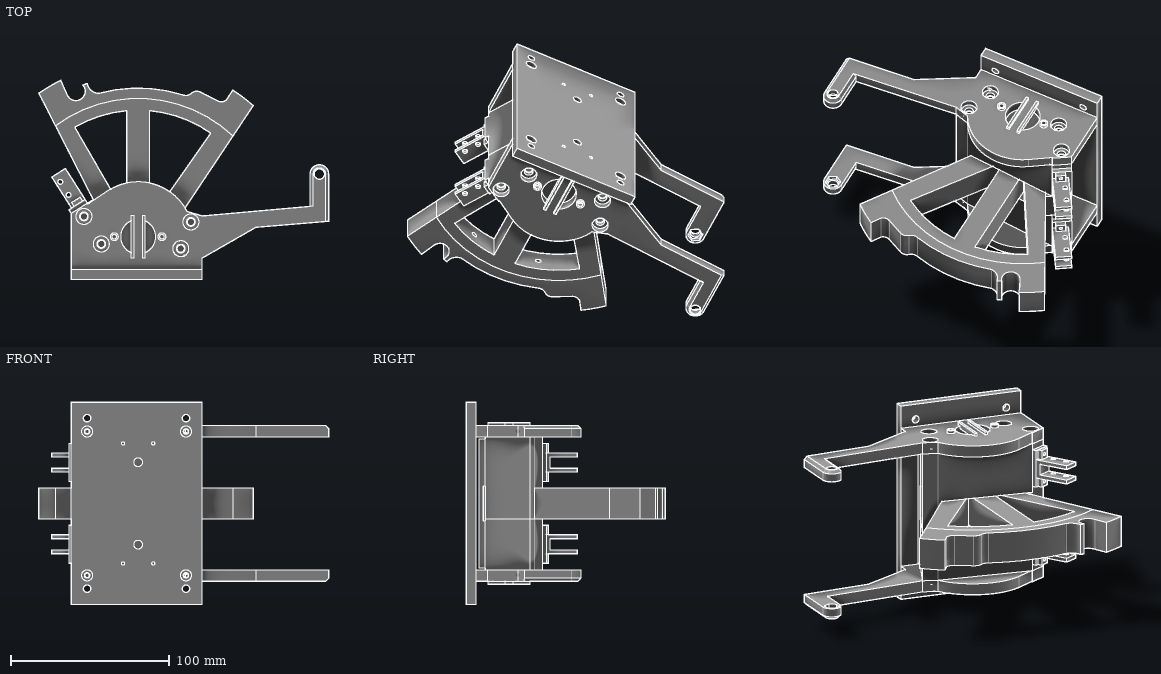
import cadquery as cq
import math


overall_length = 183.3

base_left = -42.3
base_right = 40.5
base_front = -27.1
base_thickness = 6.5
base_back = base_front + base_thickness
base_half_height = 64.0
corner_hole_x = (-32.3, 30.2)
mount_hole_diameter = 4.5
mount_hole_z = 53.9
base_screw_z = 45.5
screw_head_diameter = 7.0
screw_head_depth = 3.3
screw_clearance_diameter = 3.5
screw_thread_diameter = 2.7
screw_thread_depth = 9.2
locating_hole_diameter = 5.5
locating_hole_depth = 2.7
locating_hole_z = 26.0
small_hole_diameter = 2.0
small_hole_x = 9.5
small_hole_z = 38.0

side_inner_z = 42.0
side_thickness = 7.3
side_outer_z = side_inner_z + side_thickness
side_dome_radius = 34.8
dome_end_angle = 27.5
slant_angle = 32.5
slant_length = 12.3
slant_start = (base_left, 14.7)
slant_step = 0.7
shoulder = (base_right, 13.2)
arm_root_low = (base_right, -13.5)
arm_bend_low = (74.5, 5.9)
arm_corner_y = 9.7
arm_elbow_y = 19.2
arm_width = 12.0
arm_hole_y = 39.5
arm_hole_diameter = 6.5
arm_chamfer = 2.0
selection_margin = 0.2
nut_width_over_corners = 9.5
nut_depth = 3.0
nut_turn = 30.0
side_bolts = ((-34.3, 12.8), (33.4, 9.3), (-23.3, -4.5), (27.0, -7.5))
side_bolt_diameter = 5.5
side_bolt_head_diameter = 10.0
side_bolt_head_depth = 4.4
side_bolt_thread_diameter = 4.5
side_bolt_thread_depth = 14.7
axle_hole_diameter = 22.0
bridge_thickness = 1.6
rib_outer_x = 4.4
rib_thickness = 1.6
rib_length = 26.8
rib_height = 1.8
boss_x = 15.0
boss_diameter = 5.0
boss_hole_diameter = 3.0
boss_hole_depth = 3.7

block_front = -15.0
block_right_angle = 21.4
stop_length = 18.3
stop_depth = 3.7
pad_height = 2.7
pad_length = 24.2
strip_front = -19.0
strip_half_height = 40.9
strip_notch_depth = 1.1
strip_notch_half_height = 11.0

wheel_half_height = 9.9
hub_radius = 14.7
wheel_radius = 87.5
window_radius = 80.0
rim_radius = 94.0
tab_radius = 110.3
left_tab_angle = 124.7
right_tab_angle = 48.7
left_window_angle = 120.0
right_window_angle = 55.0
middle_spoke_half_width = 7.3
rim_left_angle = 105.4
rim_right_angle = 72.4
left_notch_angle = 116.3
right_notch_angle = 57.2
hook_notch_wall = (-44.9, 90.0)
hook_notch_bottom = (-38.5, 86.1)
hook_tip_inner = (-35.0, 95.9)
hook_tip_outer = (-32.0, 97.0)
hook_back = (-30.2, 93.1)
ramp_hollow = (31.2, 89.5)
ramp_rise = (33.7, 90.7)
ramp_crest = (36.7, 92.0)
ramp_top = (39.4, 91.5)
ramp_end = (50.2, 86.0)
ramp_notch_bottom = (53.5, 85.5)
ramp_notch_wall = (55.9, 86.7)
rim_screw_diameter = 3.5
rim_screw_start = window_radius - 1.8
rim_screw_angles = (73.8, 106.4)

bracket_z = 25.8
clevis_start = 2.0
clevis_width = 10.3
clevis_reach = 26.0
clevis_height = 12.1
tine_thickness = 2.5
web_thickness = 3.0
flange_start = 4.0
flange_width = 6.2
flange_screw_diameter = 2.0
flange_screw_spacing = 18.1
tine_hole_diameter = 3.0
tine_hole_along = 5.0
tine_hole_reaches = (10.8, 20.5)


def polar(radius, degrees):
    angle = math.radians(degrees)
    return (radius * math.cos(angle), radius * math.sin(angle))


def along_slant(distance):
    """Point on the slanted face, measured from its lower left corner."""
    run, rise = polar(distance, slant_angle)
    return (slant_start[0] + run, slant_start[1] + rise)


def place_on_slant(body):
    """Turn a body whose X runs along the slanted face and Y away from it."""
    turned = body.rotate((0, 0, 0), (0, 0, 1), slant_angle)
    return turned.translate((slant_start[0], slant_start[1], 0))


def box(x_range, y_range, z_range):
    size = [high - low for low, high in (x_range, y_range, z_range)]
    corner = (x_range[0], y_range[0], z_range[0])
    return cq.Workplane("XY").box(*size, centered=False).translate(corner)


def rods_z(points, diameter, z_low, z_high):
    rods = cq.Workplane("XY").workplane(offset=z_low).pushPoints(points)
    return rods.circle(diameter / 2).extrude(z_high - z_low)


def rods_y(points, diameter, y_low, y_high):
    """Rods along Y at the given (x, z) places."""
    rods = cq.Workplane("XZ", origin=(0, y_low, 0)).pushPoints(points)
    return rods.circle(diameter / 2).extrude(y_low - y_high)


arm_tip_x = overall_length + polar(tab_radius, left_tab_angle)[0]
slant_end = along_slant(slant_length)
block_bottom_left = slant_start[0] + (slant_start[1] - block_front) * math.tan(math.radians(slant_angle))
block_bottom_right = shoulder[0] - (shoulder[1] - block_front) * math.tan(math.radians(block_right_angle))
base_screws = [(x, z) for x in corner_hole_x for z in (-base_screw_z, base_screw_z)]


def make_base():
    base = box((base_left, base_right), (base_front, base_back), (-base_half_height, base_half_height))
    mount_holes = [(x, z) for x in corner_hole_x for z in (-mount_hole_z, mount_hole_z)]
    locating_holes = [(0, -locating_hole_z), (0, locating_hole_z)]
    small_holes = [(x, z) for x in (-small_hole_x, small_hole_x) for z in (-small_hole_z, small_hole_z)]
    through_holes = (
        (mount_holes, mount_hole_diameter),
        (base_screws, screw_clearance_diameter),
        (small_holes, small_hole_diameter),
    )
    for places, diameter in through_holes:
        base = base.cut(rods_y(places, diameter, base_front, base_back))
    locating_floor = base_front + locating_hole_depth
    base = base.cut(rods_y(locating_holes, locating_hole_diameter, base_front, locating_floor))
    return base.cut(rods_y(base_screws, screw_head_diameter, base_front, base_front + screw_head_depth))


def side_outline():
    """Foot, swan-neck arm, dome round the wheel axis and the slanted left shoulder."""
    arm_inner_x = arm_tip_x - arm_width
    arm_middle_x = arm_tip_x - arm_width / 2
    dome_foot = (slant_end[0], slant_end[1] - slant_step)
    foot_distance = math.hypot(*dome_foot)
    foot_angle = math.degrees(math.atan2(dome_foot[1], dome_foot[0]))
    tangent_angle = foot_angle - math.degrees(math.acos(side_dome_radius / foot_distance))
    return (
        cq.Workplane("XY")
        .workplane(offset=side_inner_z)
        .moveTo(base_left, base_back)
        .lineTo(base_right, base_back)
        .lineTo(*arm_root_low)
        .lineTo(*arm_bend_low)
        .lineTo(arm_tip_x, arm_corner_y)
        .lineTo(arm_tip_x, arm_hole_y)
        .threePointArc((arm_middle_x, arm_hole_y + arm_width / 2), (arm_inner_x, arm_hole_y))
        .lineTo(arm_inner_x, arm_elbow_y)
        .lineTo(*shoulder)
        .lineTo(*polar(side_dome_radius, dome_end_angle))
        .threePointArc((0, side_dome_radius), polar(side_dome_radius, tangent_angle))
        .lineTo(*dome_foot)
        .lineTo(*slant_end)
        .lineTo(*slant_start)
        .close()
    )


def add_arm_end(plate):
    """Chamfer the outer edges of the arm end, and add its hole and nut pocket."""
    edge_low = (arm_tip_x - arm_width - selection_margin, arm_elbow_y, side_outer_z - selection_margin)
    edge_high = (arm_tip_x + selection_margin, arm_hole_y + arm_width, side_outer_z + selection_margin)
    plate = plate.edges(cq.selectors.BoxSelector(edge_low, edge_high)).chamfer(arm_chamfer)
    hole_place = (arm_tip_x - arm_width / 2, arm_hole_y)
    nut = cq.Workplane("XY").polygon(6, nut_width_over_corners).extrude(nut_depth)
    nut = nut.rotate((0, 0, 0), (0, 0, 1), nut_turn).translate((*hole_place, side_inner_z))
    plate = plate.cut(nut)
    return plate.cut(rods_z([hole_place], arm_hole_diameter, side_inner_z, side_outer_z))


def add_axle_details(plate):
    """Axle hole spanned by a thin bridge with a rib along each edge, and two hollow bosses."""
    axle_hole = rods_z([(0, 0)], axle_hole_diameter, side_inner_z, side_outer_z)
    bridge = box(
        (-rib_outer_x, rib_outer_x),
        (-axle_hole_diameter / 2, axle_hole_diameter / 2),
        (side_outer_z - bridge_thickness, side_outer_z),
    )
    plate = plate.cut(axle_hole.cut(bridge))
    raised_z = side_outer_z + rib_height
    rib = box(
        (rib_outer_x - rib_thickness, rib_outer_x),
        (-rib_length / 2, rib_length / 2),
        (side_outer_z, raised_z),
    )
    plate = plate.union(rib).union(rib.mirror("YZ"))
    boss_places = [(-boss_x, 0), (boss_x, 0)]
    plate = plate.union(rods_z(boss_places, boss_diameter, side_outer_z, raised_z))
    return plate.cut(rods_z(boss_places, boss_hole_diameter, raised_z - boss_hole_depth, raised_z))


def make_upper_side_plate():
    plate = side_outline().extrude(side_thickness)
    plate = add_arm_end(plate)
    plate = add_axle_details(plate)
    plate = plate.cut(rods_z(side_bolts, side_bolt_diameter, side_inner_z, side_outer_z))
    head_floor = side_outer_z - side_bolt_head_depth
    plate = plate.cut(rods_z(side_bolts, side_bolt_head_diameter, head_floor, side_outer_z))
    return plate.cut(rods_y(base_screws, screw_thread_diameter, base_back, base_back + screw_thread_depth))


def sector(radius):
    """Wheel profile out to a radius: both sides are tangent to the hub circle."""
    swing = math.degrees(math.acos(hub_radius / tab_radius))
    lean = math.degrees(math.acos(hub_radius / radius))
    left_tangent = left_tab_angle + swing
    right_tangent = right_tab_angle - swing
    middle = (left_tangent + right_tangent) / 2
    return (
        cq.Workplane("XY")
        .workplane(offset=-wheel_half_height)
        .moveTo(*polar(hub_radius, right_tangent))
        .lineTo(*polar(radius, right_tangent + lean))
        .threePointArc(polar(radius, middle), polar(radius, left_tangent - lean))
        .lineTo(*polar(hub_radius, left_tangent))
        .threePointArc(polar(hub_radius, middle + 180), polar(hub_radius, right_tangent))
        .close()
        .extrude(2 * wheel_half_height)
    )


def wheel_window(spoke_side, outer_angle):
    """Opening between the middle spoke and a radial side spoke."""
    x = math.copysign(middle_spoke_half_width, spoke_side)
    spoke_top = (x, math.sqrt(window_radius**2 - x**2))
    spoke_top_angle = math.degrees(math.atan2(spoke_top[1], x))
    return (
        cq.Workplane("XY")
        .workplane(offset=-wheel_half_height)
        .moveTo(x, x * math.tan(math.radians(outer_angle)))
        .lineTo(*spoke_top)
        .threePointArc(
            polar(window_radius, (spoke_top_angle + outer_angle) / 2),
            polar(window_radius, outer_angle),
        )
        .close()
        .extrude(2 * wheel_half_height)
    )


def make_wheel():
    wheel = sector(wheel_radius)
    wheel = wheel.cut(wheel_window(-1, left_window_angle)).cut(wheel_window(1, right_window_angle))
    for angle in rim_screw_angles:
        start = cq.Vector(*polar(rim_screw_start, angle), 0)
        direction = cq.Vector(*polar(1, angle), 0)
        length = wheel_radius - rim_screw_start
        screw_hole = cq.Solid.makeCylinder(rim_screw_diameter / 2, length, start, direction)
        wheel = wheel.cut(cq.Workplane(screw_hole))
    return wheel


def rim_notch_cutter():
    """Space outside the rim between the end tabs, shaped by a hook on the left and a ramp on the right."""
    beyond = 2 * tab_radius
    return (
        cq.Workplane("XY")
        .workplane(offset=-wheel_half_height)
        .moveTo(*polar(tab_radius, left_notch_angle))
        .lineTo(*hook_notch_wall)
        .threePointArc(hook_notch_bottom, hook_tip_inner)
        .lineTo(*hook_tip_outer)
        .threePointArc(hook_back, polar(rim_radius, rim_left_angle))
        .threePointArc((0, rim_radius), polar(rim_radius, rim_right_angle))
        .threePointArc(ramp_hollow, ramp_rise)
        .threePointArc(ramp_crest, ramp_top)
        .lineTo(*ramp_end)
        .threePointArc(ramp_notch_bottom, ramp_notch_wall)
        .lineTo(*polar(tab_radius, right_notch_angle))
        .lineTo(*polar(beyond, right_notch_angle))
        .lineTo(*polar(beyond, left_notch_angle))
        .close()
        .extrude(2 * wheel_half_height)
    )


def make_rim():
    return sector(tab_radius).cut(sector(wheel_radius)).cut(rim_notch_cutter())


def block_body(z_low, z_high):
    outline = [
        slant_start,
        slant_end,
        polar(side_dome_radius, dome_end_angle),
        shoulder,
        (block_bottom_right, block_front),
        (block_bottom_left, block_front),
    ]
    return cq.Workplane("XY").workplane(offset=z_low).polyline(outline).close().extrude(z_high - z_low)


def bracket_pad():
    pad = box((0, slant_length), (0, pad_height), (bracket_z - pad_length / 2, bracket_z + pad_length / 2))
    return place_on_slant(pad)


def bolt_threads():
    return rods_z(side_bolts, side_bolt_thread_diameter, side_inner_z - side_bolt_thread_depth, side_inner_z)


def make_lower_block():
    block = block_body(-side_inner_z, -wheel_half_height).union(bracket_pad().mirror("XY"))
    return block.cut(bolt_threads().mirror("XY"))


def make_upper_block():
    """Block with the wheel pocket, and a stop that carries the slanted face up to the wheel."""
    block = block_body(-wheel_half_height, side_inner_z).union(bracket_pad())
    stop = box((0, stop_length), (-stop_depth, 0), (-wheel_half_height, wheel_half_height))
    return block.union(place_on_slant(stop)).cut(sector(wheel_radius)).cut(bolt_threads())


def make_strip():
    strip = box(
        (block_bottom_left, block_bottom_right),
        (strip_front, block_front),
        (-strip_half_height, strip_half_height),
    )
    notch = box(
        (block_bottom_left, block_bottom_right),
        (block_front - strip_notch_depth, block_front),
        (-strip_notch_half_height, strip_notch_half_height),
    )
    return strip.cut(notch)


def make_bracket():
    """Flange with two screw holes and a two-tine clevis, centred on Z = 0."""
    web_top = pad_height + web_thickness
    clevis_end = clevis_start + clevis_width
    slot_half = clevis_height / 2 - tine_thickness
    clevis = box(
        (clevis_start, clevis_end),
        (pad_height, clevis_reach),
        (-clevis_height / 2, clevis_height / 2),
    )
    slot = box((clevis_start, clevis_end), (web_top, clevis_reach), (-slot_half, slot_half))
    flange = box(
        (flange_start, flange_start + flange_width),
        (pad_height, web_top),
        (-pad_length / 2, pad_length / 2),
    )
    flange_middle = flange_start + flange_width / 2
    screws = [(flange_middle, -flange_screw_spacing / 2), (flange_middle, flange_screw_spacing / 2)]
    tine_holes = [(tine_hole_along, reach) for reach in tine_hole_reaches]
    bracket = clevis.cut(slot).union(flange)
    bracket = bracket.cut(rods_y(screws, flange_screw_diameter, pad_height, web_top))
    bracket = bracket.cut(rods_z(tine_holes, tine_hole_diameter, -clevis_height / 2, clevis_height / 2))
    return place_on_slant(bracket)


base = make_base()
upper_side_plate = make_upper_side_plate()
side_plates = [upper_side_plate, upper_side_plate.mirror("XY")]
upper_block = make_upper_block()
lower_block = make_lower_block()
strip = make_strip()
wheel = make_wheel()
rim = make_rim()
brackets = [make_bracket().translate((0, 0, z)) for z in (-bracket_z, bracket_z)]

result = cq.Compound.makeCompound(
    [
        base.val(),
        *[plate.val() for plate in side_plates],
        upper_block.val(),
        lower_block.val(),
        strip.val(),
        wheel.val(),
        rim.val(),
        *[bracket.val() for bracket in brackets],
    ]
)